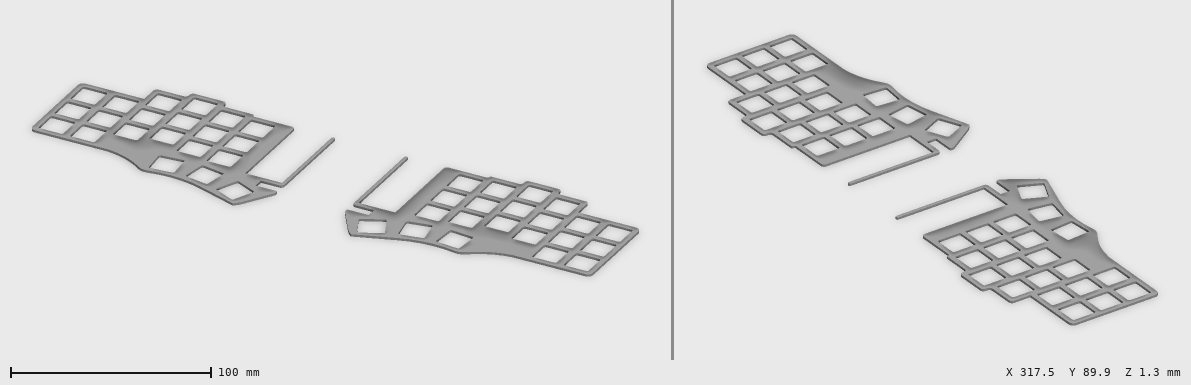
import cadquery as cq

total_width = 317.5
thickness = 1.3

key_size = 14.0
key_corner_radius = 1.0
row_count = 3
rim = 3.02
first_column_x = rim + key_size / 2
first_row_y = rim + key_size / 2
ring_rise = 11.8
middle_rise = 16.5
index_rise = 11.8
inner_rise = 10.0
column_rises = [0.0, 0.0, ring_rise, middle_rise, index_rise, inner_rise]
first_to_last_column = 90.0
first_to_last_row = 34.0
column_pitch = first_to_last_column / (len(column_rises) - 1)
row_pitch = first_to_last_row / (row_count - 1)

thumb_keys = [
    (77.2, 0.5, 5),
    (99.0, 0.0, -10),
    (120.0, -7.0, -25),
]

outer_top = first_row_y + first_to_last_row + key_size / 2 + rim
ring_top = outer_top + ring_rise
middle_top = outer_top + middle_rise
index_top = outer_top + index_rise
inner_top = outer_top + inner_rise
ring_x = 2 * column_pitch
middle_x = 3 * column_pitch
middle_end_x = middle_x + key_size + 2 * rim
index_end_x = middle_end_x + column_pitch

plate_width = 139.0
bay_x = 116.2
bay_floor = 10.8
arm_width = 2.0
arm_x = plate_width - arm_width

notch_x = 126.7
notch_top = 8.0
notch_bottom = 2.2

tip_y = 0.0
foot_inner = (128.0, -16.8)
foot = (125.5, -19.5)
thumb_arc_start = (103.0, -11.8)
thumb_arc_middle = (84.5, -8.5)
heel = (68.5, -10.5)
swoop_middle = (57.5, -3.5)
swoop_end = (44.0, 0.0)

large_radius = 3.0
large_corners = [(0, 0), (0, outer_top)]
medium_radius = 2.0
medium_corners = [
    (ring_x, ring_top),
    (middle_x, middle_top),
    (middle_end_x, middle_top),
    (bay_x, inner_top),
    (middle_x, ring_top),
    (middle_end_x, index_top),
    (plate_width, notch_top),
    foot_inner,
]
small_radius = 0.8
small_corners = [
    (index_end_x, index_top),
    (index_end_x, inner_top),
    (arm_x, inner_top),
    (plate_width, inner_top),
    (plate_width, notch_bottom),
    (plate_width, tip_y),
    foot,
]
heel_radius = 8.0


def sharp_plate():
    """Solid plate without key openings and with all its corners still sharp."""
    return (
        cq.Workplane("XY")
        .moveTo(0, 0)
        .lineTo(0, outer_top)
        .lineTo(ring_x, outer_top)
        .lineTo(ring_x, ring_top)
        .lineTo(middle_x, ring_top)
        .lineTo(middle_x, middle_top)
        .lineTo(middle_end_x, middle_top)
        .lineTo(middle_end_x, index_top)
        .lineTo(index_end_x, index_top)
        .lineTo(index_end_x, inner_top)
        .lineTo(bay_x, inner_top)
        .lineTo(bay_x, bay_floor)
        .lineTo(arm_x, bay_floor)
        .lineTo(arm_x, inner_top)
        .lineTo(plate_width, inner_top)
        .lineTo(plate_width, notch_top)
        .lineTo(notch_x, notch_top)
        .lineTo(notch_x, notch_bottom)
        .lineTo(plate_width, notch_bottom)
        .lineTo(plate_width, tip_y)
        .lineTo(*foot_inner)
        .lineTo(*foot)
        .lineTo(*thumb_arc_start)
        .threePointArc(thumb_arc_middle, heel)
        .threePointArc(swoop_middle, swoop_end)
        .close()
        .extrude(thickness)
    )


def round_corners(plate, points, radius):
    """Round the upright edge of the plate at each of the given outline points."""
    for x, y in points:
        corner = cq.selectors.NearestToPointSelector((x, y, thickness / 2))
        plate = plate.edges("|Z").edges(corner).fillet(radius)
    return plate


def key_cutter(x, y, angle=0):
    """Square key opening with rounded corners, turned about its own centre."""
    return (
        cq.Workplane("XY")
        .rect(key_size, key_size)
        .extrude(thickness)
        .edges("|Z")
        .fillet(key_corner_radius)
        .rotate((0, 0, 0), (0, 0, 1), angle)
        .translate((x, y, 0))
    )


def switch_plate():
    """One complete plate in its own frame."""
    plate = sharp_plate()
    plate = round_corners(plate, large_corners, large_radius)
    plate = round_corners(plate, medium_corners, medium_radius)
    plate = round_corners(plate, small_corners, small_radius)
    plate = round_corners(plate, [heel], heel_radius)

    for column, rise in enumerate(column_rises):
        for row in range(row_count):
            x = first_column_x + column * column_pitch
            y = first_row_y + rise + row * row_pitch
            plate = plate.cut(key_cutter(x, y))

    for x, y, angle in thumb_keys:
        plate = plate.cut(key_cutter(x, y, angle))
    return plate


left_plate = switch_plate().translate((-total_width / 2, 0, 0))
right_plate = left_plate.mirror("YZ")

result = cq.Compound.makeCompound([left_plate.solids().val(), right_plate.solids().val()])